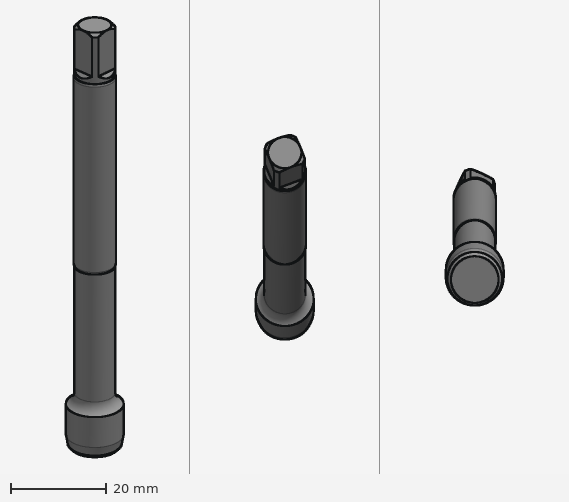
import cadquery as cq
import math

LENGTH = 100.0
SHANK_RADIUS = 8.7 / 2

HEAD_RADIUS = 12.2 / 2
HEAD_BOTTOM_RADIUS = 5.0
HEAD_LIP_RADIUS = 5.75
HEAD_LIP_Z = 0.8
HEAD_TAPER_Z = 2.9
HEAD_TOP_Z = 10.1
NECK_TOP_Z = 12.8

NECK_RISE = NECK_TOP_Z - HEAD_TOP_Z
NECK_SPREAD = HEAD_RADIUS - SHANK_RADIUS
NECK_ARC_RADIUS = (NECK_RISE**2 + NECK_SPREAD**2) / (2 * NECK_SPREAD)
NECK_HALF_ANGLE = math.asin(NECK_RISE / NECK_ARC_RADIUS) / 2
NECK_MID_RADIUS = SHANK_RADIUS + NECK_ARC_RADIUS * (1 - math.cos(NECK_HALF_ANGLE))
NECK_MID_Z = NECK_TOP_Z - NECK_ARC_RADIUS * math.sin(NECK_HALF_ANGLE)

SLEEVE_RADIUS = 9.0 / 2
SEAT_RADIUS = 8.5 / 2
SLEEVE_BOTTOM_Z = 43.0
SLEEVE_TOP_Z = 88.2
SLEEVE_TAPER_LENGTH = 0.6

SQUARE_WIDTH = 7.0
SQUARE_BOTTOM_Z = 90.0
LEDGE_LOW_Z = 89.1
TIP_RADIUS = 7.0 / 2
TIP_CHAMFER_HEIGHT = 0.7


def make_shank_blank():
    """Turned shank with its head, neck, sleeve groove and chamfered tip."""
    return (
        cq.Workplane("XZ")
        .lineTo(HEAD_BOTTOM_RADIUS, 0)
        .lineTo(HEAD_LIP_RADIUS, HEAD_LIP_Z)
        .lineTo(HEAD_RADIUS, HEAD_TAPER_Z)
        .lineTo(HEAD_RADIUS, HEAD_TOP_Z)
        .threePointArc((NECK_MID_RADIUS, NECK_MID_Z), (SHANK_RADIUS, NECK_TOP_Z))
        .lineTo(SHANK_RADIUS, SLEEVE_BOTTOM_Z)
        .lineTo(SEAT_RADIUS, SLEEVE_BOTTOM_Z)
        .lineTo(SEAT_RADIUS, SLEEVE_TOP_Z)
        .lineTo(SHANK_RADIUS, SLEEVE_TOP_Z)
        .lineTo(SHANK_RADIUS, LENGTH - TIP_CHAMFER_HEIGHT)
        .lineTo(TIP_RADIUS, LENGTH)
        .lineTo(0, LENGTH)
        .close()
        .revolve(360, (0, 0, 0), (0, 1, 0))
    )


def make_flat_cutter():
    """Block that cuts one flat on the +X side, with a floor sloping down and outward."""
    flat_x = SQUARE_WIDTH / 2
    return (
        cq.Workplane("XZ")
        .moveTo(flat_x, LENGTH)
        .lineTo(flat_x, SQUARE_BOTTOM_Z)
        .lineTo(SHANK_RADIUS, LEDGE_LOW_Z)
        .lineTo(SHANK_RADIUS, LENGTH)
        .close()
        .extrude(SHANK_RADIUS, both=True)
    )


def make_shank():
    """Shank with four flats forming the square drive."""
    shank = make_shank_blank()
    cutter = make_flat_cutter()
    for quarter in range(4):
        shank = shank.cut(cutter.rotate((0, 0, 0), (0, 0, 1), 90 * quarter))
    return shank


def make_sleeve():
    """Thin sleeve tapering down to the shank surface at both ends."""
    return (
        cq.Workplane("XZ")
        .moveTo(SEAT_RADIUS, SLEEVE_BOTTOM_Z)
        .lineTo(SHANK_RADIUS, SLEEVE_BOTTOM_Z)
        .lineTo(SLEEVE_RADIUS, SLEEVE_BOTTOM_Z + SLEEVE_TAPER_LENGTH)
        .lineTo(SLEEVE_RADIUS, SLEEVE_TOP_Z - SLEEVE_TAPER_LENGTH)
        .lineTo(SHANK_RADIUS, SLEEVE_TOP_Z)
        .lineTo(SEAT_RADIUS, SLEEVE_TOP_Z)
        .close()
        .revolve(360, (0, 0, 0), (0, 1, 0))
    )


shank = make_shank()
sleeve = make_sleeve()
result = cq.Compound.makeCompound([shank.val(), sleeve.val()])